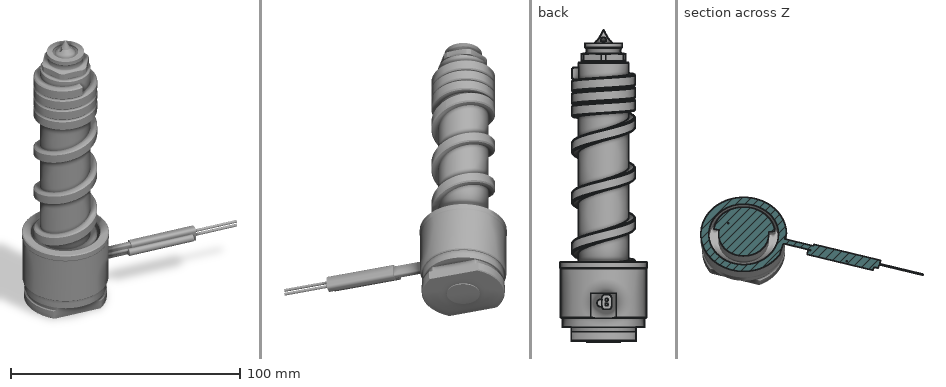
import cadquery as cq
import math


rim_diameter = 38.0
overall_depth = 100.0
tip_top = 136.2

base_pad_r = 7.2
base_pad_top = 0.4
flange_r = 18.1
flange_top = 4.5
neck_r = 17.2
neck_top = 6.5
flat_half_width = 14.2
step_r = 18.0
step_top = 10.5
sleeve_r = 18.8
rim_r = rim_diameter / 2
rim_bottom = 32.0
rim_top = 35.1
bore_r = 15.1
edge_break = 0.4

barrel_r = 11.0
barrel_top = 122.0
barrel_neck_r = 9.1
hex_bottom = 122.7
hex_top = 125.5
hex_apothem = 9.7
hex_corner_r = 10.6
hex_cap_top = 126.0
collar_neck_r = 7.5
collar_r = 8.2
collar_bottom = 128.2
collar_top = 130.3
groove_edge_r = 7.8

recess_r = 5.6
recess_floor = 129.7
tip_base_r = 4.6
tip_waist_r = 2.0
tip_waist_z = 132.4
port_r = 1.2
port_offset = 2.5
port_tilt = 45
port_depth = 2.5

band_outer_r = 13.9
band_root_r = 10.6
band_height = 5.0
band_chamfer = 0.5
close_pitch = 5.5
open_pitch = 21.9
change_sweep = 139
change_rise = 5.0
change_steps = 8
close_sweep = 3 * 360 + 68
open_sweep = 2 * 360 + 205.5
band_end_angle = 11
band_end_top = 119.7

cable_x = -1.4
cable_z = 17.5
cable_width = 2.6
cable_height = 5.3
cable_start = 17.0
cable_end = 30.8
cable_round = 0.7
jacket_width = 4.2
jacket_height = 6.4
jacket_end = 61.2
jacket_round = 1.3
wire_r = 0.61
wire_pitch = 2.0
wire_end = overall_depth - rim_r
second_lead_r = 0.75
second_lead_x = 0
second_jacket_r = 1.6
second_jacket_x = 1.2
second_jacket_z = 17.0
second_jacket_start = 29.1
second_jacket_end = 59.2

outlet_flat_y = 18.0
outlet_flat_top = 21.2


def disc(radius, bottom, top):
    return cq.Workplane("XY").workplane(offset=bottom).circle(radius).extrude(top - bottom)


def make_base():
    foot = disc(flange_r, base_pad_top, flange_top).faces("<Z").chamfer(edge_break)
    foot = foot.union(disc(neck_r, flange_top, neck_top))
    flats = cq.Workplane("XY").box(2 * flat_half_width, 4 * flange_r, 2 * neck_top)
    return foot.intersect(flats).union(disc(base_pad_r, 0, 2 * base_pad_top))


def make_sleeve():
    profile = (
        cq.Workplane("XZ")
        .moveTo(0, neck_top)
        .lineTo(step_r, neck_top)
        .lineTo(step_r, step_top)
        .lineTo(sleeve_r - edge_break, step_top)
        .lineTo(sleeve_r, step_top + edge_break)
        .lineTo(sleeve_r, rim_bottom)
        .lineTo(rim_r, rim_bottom + edge_break)
        .lineTo(rim_r, rim_top - edge_break)
        .lineTo(rim_r - edge_break, rim_top)
        .lineTo(bore_r + edge_break, rim_top)
        .lineTo(bore_r, rim_top - edge_break)
        .lineTo(bore_r, step_top)
        .lineTo(0, step_top)
        .close()
    )
    sleeve = profile.revolve(360, (0, 0, 0), (0, 1, 0))
    outlet_flat = (
        cq.Workplane("XY")
        .workplane(offset=step_top)
        .center(0, outlet_flat_y + sleeve_r / 2)
        .rect(2 * sleeve_r, sleeve_r)
        .extrude(outlet_flat_top - step_top)
    )
    return sleeve.cut(outlet_flat)


def make_hexagon():
    corner_to_corner = 2 * hex_apothem / math.cos(math.radians(30))
    hexagon = (
        cq.Workplane("XY")
        .workplane(offset=hex_bottom)
        .polygon(6, corner_to_corner)
        .extrude(hex_cap_top - hex_bottom)
        .rotate((0, 0, 0), (0, 0, 1), 30)
    )
    blank = (
        cq.Workplane("XZ")
        .moveTo(0, hex_bottom)
        .lineTo(hex_corner_r, hex_bottom)
        .lineTo(hex_corner_r, hex_top)
        .lineTo(collar_r, hex_cap_top)
        .lineTo(0, hex_cap_top)
        .close()
        .revolve(360, (0, 0, 0), (0, 1, 0))
    )
    return hexagon.intersect(blank)


def make_barrel():
    barrel = disc(barrel_r, step_top, barrel_top).faces(">Z").chamfer(edge_break)
    barrel = barrel.union(disc(barrel_neck_r, barrel_top, hex_bottom)).union(make_hexagon())
    groove_middle = (hex_cap_top + collar_bottom) / 2
    collar = (
        cq.Workplane("XZ")
        .moveTo(0, hex_cap_top)
        .lineTo(groove_edge_r, hex_cap_top)
        .threePointArc((collar_neck_r, groove_middle), (groove_edge_r, collar_bottom))
        .lineTo(collar_r, collar_bottom + edge_break)
        .lineTo(collar_r, collar_top)
        .lineTo(recess_r, collar_top)
        .lineTo(recess_r, recess_floor)
        .lineTo(tip_base_r, recess_floor)
        .lineTo(tip_waist_r, tip_waist_z)
        .lineTo(0, tip_top)
        .close()
        .revolve(360, (0, 0, 0), (0, 1, 0))
    )
    return barrel.union(collar).cut(make_tip_ports())


def make_tip_ports():
    mouth_z = recess_floor + (tip_base_r - port_offset)
    ports = cq.Workplane("XY")
    for side in (-1, 1):
        port = (
            cq.Workplane("XY")
            .workplane(offset=-port_depth)
            .circle(port_r)
            .extrude(2 * port_depth)
            .rotate((0, 0, 0), (1, 0, 0), -side * port_tilt)
            .translate((0, side * port_offset, mouth_z))
        )
        ports = ports.union(port)
    return ports


def band_section(angle=0, height=0):
    """Cross-section in the radial plane at an angle, with its upper edge at a height."""
    outline = (
        (band_root_r, -band_height),
        (band_outer_r - band_chamfer, -band_height),
        (band_outer_r, -band_height + band_chamfer),
        (band_outer_r, -band_chamfer),
        (band_outer_r - band_chamfer, 0),
        (band_root_r, 0),
    )
    turn = math.radians(angle)
    corners = [cq.Vector(r * math.cos(turn), r * math.sin(turn), height + z) for r, z in outline]
    return cq.Wire.makePolygon(corners, close=True)


def steady_run(pitch, sweep):
    """Band rising from angle 0 and height 0 at a constant pitch."""
    path = cq.Wire.makeHelix(pitch, pitch * sweep / 360, band_outer_r)
    return cq.Solid.sweep(band_section(), [], path, isFrenet=True)


def change_run(start_pitch, end_pitch):
    """Band rising from angle 0 and height 0 while its pitch blends smoothly."""
    start_slope = start_pitch * change_sweep / 360
    end_slope = end_pitch * change_sweep / 360
    sections = []
    for step in range(change_steps + 1):
        t = step / change_steps
        height = (
            start_slope * t * (1 - t) ** 2
            + change_rise * t**2 * (3 - 2 * t)
            - end_slope * t**2 * (1 - t)
        )
        sections.append(band_section(change_sweep * t, height))
    return cq.Solid.makeLoft(sections)


def add_band(body):
    """Join the runs of the band to the body, from the top end down."""
    close_rise = close_pitch * close_sweep / 360
    open_rise = open_pitch * open_sweep / 360
    runs = (
        (steady_run(close_pitch, close_sweep), close_sweep, close_rise),
        (change_run(open_pitch, close_pitch), change_sweep, change_rise),
        (steady_run(open_pitch, open_sweep), open_sweep, open_rise),
        (change_run(close_pitch, open_pitch), change_sweep, change_rise),
        (steady_run(close_pitch, close_sweep), close_sweep, close_rise),
    )
    angle = band_end_angle
    height = band_end_top
    for run, sweep, rise in runs:
        angle -= sweep
        height -= rise
        placed = run.rotate(cq.Vector(0, 0, 0), cq.Vector(0, 0, 1), angle).translate(cq.Vector(0, 0, height))
        body = body.union(cq.Workplane(placed))
    return body


def rounded_bar_along_y(width, height, corner, start, end):
    bar = cq.Workplane("XY").box(width, end - start, height).edges("|Y").fillet(corner)
    return bar.translate((cable_x, (start + end) / 2, cable_z))


def rod_along_y(radius, start, end, x, z):
    rod = cq.Workplane("XZ").circle(radius).extrude(start - end)
    return rod.translate((x, start, z))


def make_cable():
    cable = rounded_bar_along_y(cable_width, cable_height, cable_round, cable_start, cable_end)
    jacket = rounded_bar_along_y(jacket_width, jacket_height, jacket_round, cable_end, jacket_end)
    cable = cable.union(jacket)
    cable = cable.union(rod_along_y(second_lead_r, cable_start, second_jacket_end, second_lead_x, cable_z))
    second_jacket = rod_along_y(
        second_jacket_r, second_jacket_start, second_jacket_end, second_jacket_x, second_jacket_z
    )
    cable = cable.union(second_jacket)
    for side in (-1, 1):
        wire_z = cable_z + side * wire_pitch / 2
        cable = cable.union(rod_along_y(wire_r, cable_end, wire_end, cable_x, wire_z))
    return cable


barrel = add_band(make_barrel())
result = make_base().union(make_sleeve()).union(barrel).union(make_cable())